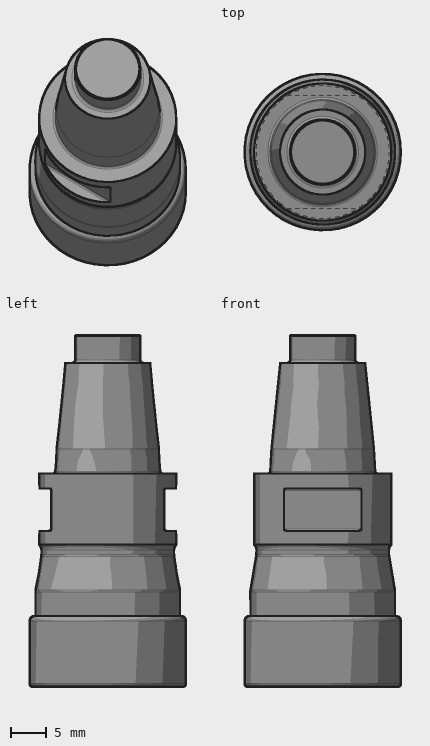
import cadquery as cq
import math

TOTAL_HEIGHT = 49.5

CAP_RADIUS = 11.015
CAP_HEIGHT = 10.0
CAP_TOP_ROUND = 0.75
CAP_BOTTOM_ROUND = 0.5

RING_RADIUS = 20.4 / 2
RING_TOP = 13.5
NECK_RADIUS = 18.7 / 2
NECK_BOTTOM = 18.5
NECK_TOP = 19.3
FLARE_BLEND = 1.75

COLLAR_RADIUS = 19.3 / 2
COLLAR_BOTTOM = 20.05
COLLAR_TOP = 30.05
FLAT_DISTANCE = 7.95
FLAT_BOTTOM = 22.0
FLAT_TOP = 27.9
FLAT_CORNER_ROUND = 0.25

TAPER_BASE_RADIUS = 7.42
TAPER_BASE_ROUND = 0.3
TAPER_BREAK_RADIUS = 7.25
TAPER_BREAK_HEIGHT = 33.5
TAPER_TOP_RADIUS = 6.0
TAPER_TOP = 45.6

TIP_RADIUS = 9.2 / 2
TIP_BASE_ROUND = 0.45
TIP_CHAMFER = 0.15


def make_cap():
    """Plain round cap with rounded rims, standing on Z = 0."""
    cap = cq.Workplane("XY").circle(CAP_RADIUS).extrude(CAP_HEIGHT)
    cap = cap.faces(">Z").edges().fillet(CAP_TOP_ROUND)
    return cap.faces("<Z").edges().fillet(CAP_BOTTOM_ROUND)


def edges_at_height(body, height):
    """Circular edges whose centre lies at the given height."""
    tolerance = 0.005
    return body.edges("%CIRCLE").filter(lambda edge: abs(edge.Center().z - height) < tolerance)


def make_turned_stem():
    """Revolved stem, from the top of the cap to the tip."""
    undercut_height = COLLAR_BOTTOM - NECK_TOP
    undercut_depth = COLLAR_RADIUS - NECK_RADIUS
    undercut_radius = (undercut_height**2 + undercut_depth**2) / (2 * undercut_depth)
    middle_angle = math.asin(undercut_height / undercut_radius) / 2
    undercut_middle = (
        NECK_RADIUS + undercut_radius * (1 - math.cos(middle_angle)),
        NECK_TOP + undercut_radius * math.sin(middle_angle),
    )
    stem = (
        cq.Workplane("XZ")
        .moveTo(0, CAP_HEIGHT)
        .lineTo(RING_RADIUS, CAP_HEIGHT)
        .lineTo(RING_RADIUS, RING_TOP)
        .lineTo(NECK_RADIUS, NECK_BOTTOM)
        .lineTo(NECK_RADIUS, NECK_TOP)
        .threePointArc(undercut_middle, (COLLAR_RADIUS, COLLAR_BOTTOM))
        .lineTo(COLLAR_RADIUS, COLLAR_TOP)
        .lineTo(TAPER_BASE_RADIUS, COLLAR_TOP)
        .lineTo(TAPER_BREAK_RADIUS, TAPER_BREAK_HEIGHT)
        .lineTo(TAPER_TOP_RADIUS, TAPER_TOP)
        .lineTo(TIP_RADIUS, TAPER_TOP)
        .lineTo(TIP_RADIUS, TOTAL_HEIGHT)
        .lineTo(0, TOTAL_HEIGHT)
        .close()
        .revolve(360, (0, 0, 0), (0, 1, 0))
    )
    for height in (RING_TOP, NECK_BOTTOM):
        stem = edges_at_height(stem, height).fillet(FLARE_BLEND)
    inner_corners = (
        (COLLAR_TOP, TAPER_BASE_RADIUS, TAPER_BASE_ROUND),
        (TAPER_TOP, TIP_RADIUS, TIP_BASE_ROUND),
    )
    for height, radius, corner_round in inner_corners:
        corner = edges_at_height(stem, height).filter(
            lambda edge: math.isclose(edge.radius(), radius, abs_tol=0.005)
        )
        stem = corner.fillet(corner_round)
    return stem.faces(">Z").edges().chamfer(TIP_CHAMFER)


def make_flat_cutter(side):
    """Block that cuts one wrench flat, on the -Y (-1) or +Y (+1) side."""
    width = 2 * COLLAR_RADIUS
    depth = COLLAR_RADIUS
    height = FLAT_TOP - FLAT_BOTTOM
    block = cq.Workplane("XY").box(width, depth, height)
    inner_face = ">Y" if side < 0 else "<Y"
    block = block.faces(inner_face).edges("|X").fillet(FLAT_CORNER_ROUND)
    return block.translate((0, side * (FLAT_DISTANCE + depth / 2), FLAT_BOTTOM + height / 2))


def make_stem():
    stem = make_turned_stem()
    for side in (-1, 1):
        stem = stem.cut(make_flat_cutter(side))
    return stem


cap = make_cap()
stem = make_stem()

result = cq.Compound.makeCompound([cap.val(), stem.val()])